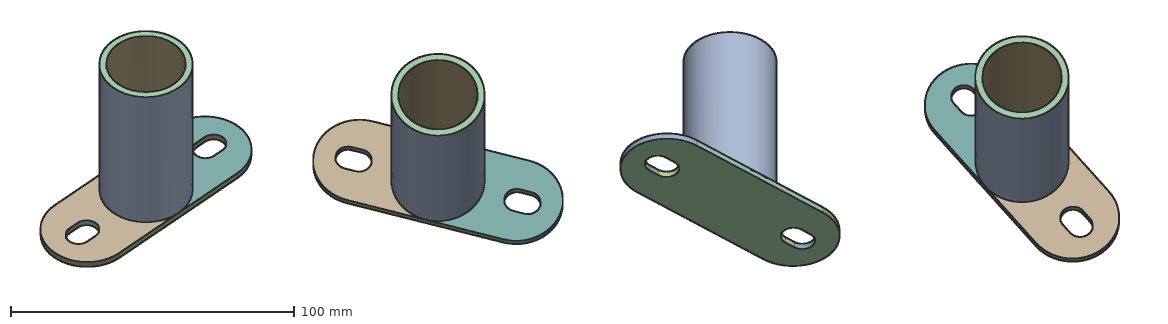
import cadquery as cq

plate_width = 33.0
plate_length = 90.5
plate_thickness = 2.5

tube_outer_diameter = plate_width
tube_bore_diameter = 28.0
total_height = 65.0
tube_height = total_height - plate_thickness

slot_width = 9.0
slot_length = 13.0
slot_spacing = 62.0

ALONG_Y = 90.0


def make_plate():
    return (
        cq.Workplane("XY")
        .slot2D(plate_length, plate_width, ALONG_Y)
        .extrude(plate_thickness)
    )


def make_tube():
    return (
        cq.Workplane("XY")
        .workplane(offset=plate_thickness)
        .circle(tube_outer_diameter / 2)
        .circle(tube_bore_diameter / 2)
        .extrude(tube_height)
    )


def make_mounting_slots():
    slot_offset = slot_spacing / 2
    return (
        cq.Workplane("XY")
        .pushPoints([(0, -slot_offset), (0, slot_offset)])
        .slot2D(slot_length, slot_width, ALONG_Y)
        .extrude(plate_thickness)
    )


result = make_plate().cut(make_mounting_slots()).union(make_tube())